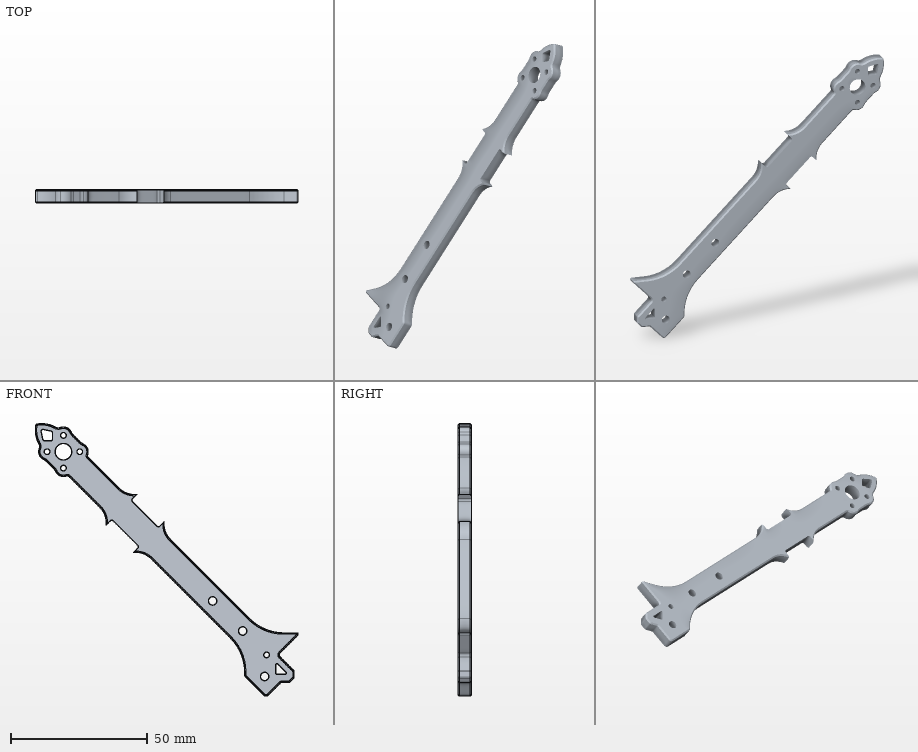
import cadquery as cq
import math

arm_plane = cq.Plane(origin=(0, 0, 0), xDir=(1, 0, -1), normal=(0, -1, 0))
thickness = 5.0
edge_chamfer = 0.5

shaft_diameter = 6.0
motor_screw_diameter = 2.0
motor_screw_circle_radius = 6.0
motor_screw_offset = motor_screw_circle_radius * math.sin(math.radians(45))
boss_radius = 3.1
waist_half_width = 6.9
nose_along = -14.3
nose_bulge = (-11.0, 3.2)
nose_root = (-7.0, 4.6)
nose_radius = 0.8
nose_boss_fillet = 2.0
boss_waist_fillet = 4.0
boss_arm_fillet = 0.8

window_front = -11.8
window_back = -5.7
window_shoulder_along = -8.1
window_fillet = 0.6

arm_half_width = 5.0
notch_middle = 37.3
notch_width = 14.2
notch_floor = arm_half_width
notch_fillet = 0.8
tab_height = 8.0
tab_arc_length = 6.2

flare_start = 91.8
flare_radius = 17.8
flare_angle = math.radians(45)
flare_end_along = flare_start + flare_radius * math.sin(flare_angle)
flare_end_across = arm_half_width + flare_radius * (1 - math.cos(flare_angle))
fork_face = 108.6
fork_tip_across = flare_end_across + (fork_face - flare_end_along) * math.tan(flare_angle)
fork_tip_fillet = 0.51
side_face = -11.2
side_corner_fillet = 1.2
heel_face = 116.5
prong_half_width = 3.0
prong_end = 118.7
prong_end_half_width = 1.2
prong_slope_start = prong_end - (prong_half_width - prong_end_half_width)
heel_inner_across = -(prong_end_half_width + prong_end - heel_face)
prong_root_fillet = 1.0
prong_corner_fillet = 0.6
tail_overlap = 1.0

tail_holes = [
    (77.6, 0.0, 3.0),
    (93.2, 0.0, 3.0),
    (105.6, 0.0, 2.0),
    (110.7, -6.1, 3.0),
]
tail_window_corner = (113.0, -2.6)
tail_window_side = 0.5
tail_window_fillet = 0.4


def prism(sketch):
    return sketch.extrude(thickness / 2, both=True)


def plate():
    return cq.Workplane(arm_plane)


def fillet_corner(body, corners, radius):
    """Round the through-thickness edges at the given outline corners."""
    for along, across in corners:
        nearest = cq.selectors.NearestToPointSelector(arm_plane.toWorldCoords((along, across)).toTuple())
        body = body.edges("|Y").edges(nearest).fillet(radius)
    return body


def both_sides(along, across):
    return [(along, across), (along, -across)]


def half_outline(side):
    """Half of the symmetric part of the arm, on the side given by +1 or -1."""

    def at(along, across):
        return (along, side * across)

    tab_rise = tab_height - arm_half_width
    tab_radius = (tab_arc_length**2 + tab_rise**2) / (2 * tab_rise)
    tab_angle = math.asin(tab_arc_length / tab_radius)
    half_angle = tab_angle / 2
    mid_run = tab_radius * math.sin(half_angle)
    mid_height = arm_half_width + tab_radius * (1 - math.cos(half_angle))
    tab_reach = notch_width / 2 + tab_arc_length
    peak = tab_height + notch_width / 2 * math.tan(tab_angle)

    flare_middle = at(
        flare_start + flare_radius * math.sin(flare_angle / 2),
        arm_half_width + flare_radius * (1 - math.cos(flare_angle / 2)),
    )
    sketch = (
        plate()
        .moveTo(nose_along, 0)
        .threePointArc(at(*nose_bulge), at(*nose_root))
        .lineTo(*at(-motor_screw_offset, waist_half_width))
        .lineTo(*at(motor_screw_offset, waist_half_width))
        .lineTo(*at(motor_screw_offset, arm_half_width))
        .lineTo(*at(notch_middle - tab_reach, arm_half_width))
        .threePointArc(
            at(notch_middle - tab_reach + mid_run, mid_height),
            at(notch_middle - notch_width / 2, tab_height),
        )
        .lineTo(*at(notch_middle, peak))
        .lineTo(*at(notch_middle + notch_width / 2, tab_height))
        .threePointArc(
            at(notch_middle + tab_reach - mid_run, mid_height),
            at(notch_middle + tab_reach, arm_half_width),
        )
        .lineTo(*at(flare_start, arm_half_width))
        .threePointArc(flare_middle, at(flare_end_along, flare_end_across))
        .lineTo(*at(fork_face, fork_tip_across))
        .lineTo(fork_face, 0)
        .close()
    )
    return prism(sketch)


def boss_centres():
    return [(a * motor_screw_offset, b * motor_screw_offset) for a in (-1, 1) for b in (-1, 1)]


def tail_block():
    """The prong and the heel that reach past the fork face."""
    return prism(
        plate().polyline(
            [
                (fork_face - tail_overlap, prong_half_width),
                (prong_slope_start, prong_half_width),
                (prong_end, prong_end_half_width),
                (prong_end, -prong_end_half_width),
                (heel_face, heel_inner_across),
                (heel_face, side_face),
                (fork_face - tail_overlap, side_face),
            ]
        ).close()
    )


def outline_corners():
    """Corners of the outline to round, with their radii."""
    waist_end = boss_radius**2 - (waist_half_width - motor_screw_offset) ** 2
    waist_along = motor_screw_offset - math.sqrt(waist_end)
    arm_end = boss_radius**2 - (arm_half_width - motor_screw_offset) ** 2
    arm_along = motor_screw_offset + math.sqrt(arm_end)
    side_start = flare_end_along - side_face - flare_end_across
    return [
        ([(nose_along, 0)], nose_radius),
        (both_sides(*nose_root), nose_boss_fillet),
        (both_sides(-waist_along, waist_half_width), boss_waist_fillet),
        (both_sides(waist_along, waist_half_width), boss_waist_fillet),
        (both_sides(arm_along, arm_half_width), boss_arm_fillet),
        ([(fork_face, fork_tip_across)], fork_tip_fillet),
        ([(fork_face, prong_half_width)], prong_root_fillet),
        ([(side_start, side_face), (heel_face, side_face)], side_corner_fillet),
        ([(heel_face, heel_inner_across)], prong_corner_fillet),
        ([(prong_end, prong_end_half_width), (prong_end, -prong_end_half_width)], prong_corner_fillet),
        ([(prong_slope_start, prong_half_width)], prong_corner_fillet),
    ]


def arm_body():
    trim_width = fork_tip_across + side_face
    side_trim = prism(
        plate().center(fork_face, side_face - trim_width / 2).rect(2 * trim_width, trim_width)
    )
    body = half_outline(1).union(half_outline(-1)).cut(side_trim).union(tail_block())
    body = body.union(prism(plate().pushPoints(boss_centres()).circle(boss_radius))).clean()
    for corners, radius in outline_corners():
        body = fillet_corner(body, corners, radius)
    return body.faces("<Y or >Y").chamfer(edge_chamfer)


def strap_notches():
    depth = 2 * tab_height
    middles = both_sides(notch_middle, notch_floor + depth / 2)
    return prism(plate().pushPoints(middles).rect(notch_width, depth)).edges("|Y").fillet(notch_fillet)


def round_holes():
    holes = prism(plate().circle(shaft_diameter / 2))
    holes = holes.union(prism(plate().pushPoints(boss_centres()).circle(motor_screw_diameter / 2)))
    for along, across, diameter in tail_holes:
        holes = holes.union(prism(plate().center(along, across).circle(diameter / 2)))
    return holes


def nose_window():
    shoulder_across = window_back - window_shoulder_along
    window = prism(
        plate().polyline(
            [
                (window_front, 0),
                (window_shoulder_along, shoulder_across),
                (window_back, 0),
                (window_shoulder_along, -shoulder_across),
            ]
        ).close()
    )
    return window.edges("|Y").fillet(window_fillet)


def tail_window():
    """A right triangle with its longest side along the arm."""
    along, across = tail_window_corner
    height = tail_window_side - across
    window = prism(
        plate().polyline(
            [
                (along, across),
                (along + height, tail_window_side),
                (along - height, tail_window_side),
            ]
        ).close()
    )
    return window.edges("|Y").fillet(tail_window_fillet)


result = arm_body().cut(strap_notches()).cut(round_holes()).cut(nose_window()).cut(tail_window())